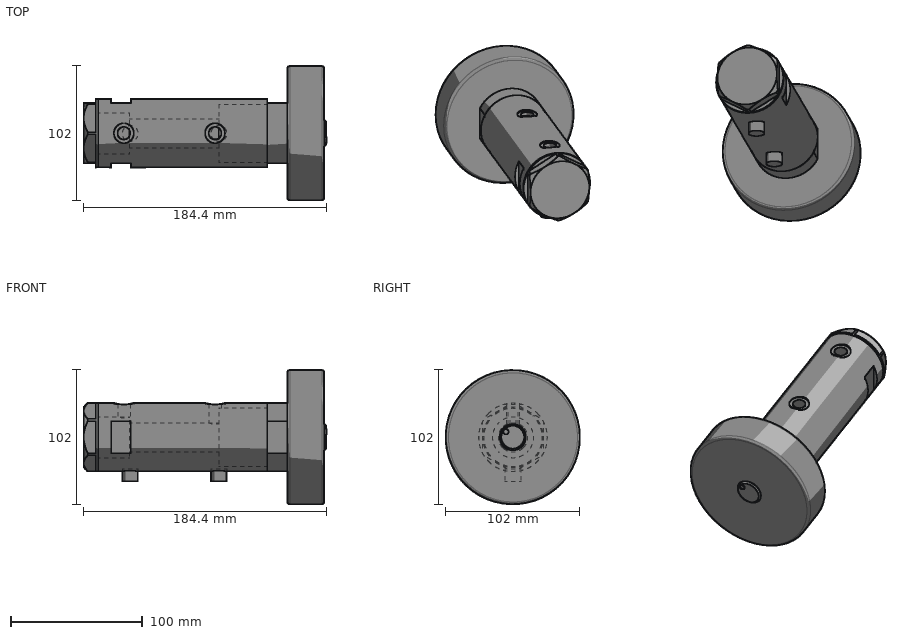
import cadquery as cq
import math


BODY_DIAMETER = 52.0
BODY_RADIUS = BODY_DIAMETER / 2
ACROSS_FLATS = 46.0
FLAT_DEPTH = BODY_RADIUS - ACROSS_FLATS / 2

HEX_END = 9.0
SLEEVE_START = 10.9
STEM_TIP_START = 34.7
STEM_SHOULDER_START = 102.3
SLEEVE_END = 139.2
DISC_START = 154.3
DISC_END = 182.4
TOTAL_LENGTH = 184.4

HEX_SIDES = 6
SPIGOT_RADIUS = 15.5

DISC_DIAMETER = 102.0
DISC_FILLET = 2.0
STEM_TIP_RADIUS = 11.0
STEM_SHOULDER_RADIUS = 22.1
BUTTON_RADIUS = 10.0
BUTTON_HEIGHT = 1.5
BUTTON_CHAMFER = 1.3
NUB_RADIUS = 2.0
NUB_Y = -5.2
NUB_Z = 4.0

WRENCH_SLOT_START = 20.8
WRENCH_SLOT_WIDTH = 15.0
PORT_POSITIONS = (30.5, 99.5)
PORT_DIAMETER = 9.5
SPOT_FACE_DIAMETER = 15.1
SPOT_FACE_DEPTH = 1.1

PIN_POSITIONS = (35.0, STEM_SHOULDER_START)
PIN_DIAMETER = 12.0
PIN_BOTTOM = -33.5
PIN_TOP = -24.0


def rod(start, end, radius):
    """Round bar along the X axis."""
    return cq.Workplane("YZ", origin=(start, 0, 0)).circle(radius).extrude(end - start)


def vertical_rod(x, bottom, top, diameter):
    """Round bar along Z that crosses the axis of the assembly at x."""
    return cq.Workplane("XY", origin=(x, 0, bottom)).circle(diameter / 2).extrude(top - bottom)


def cut_wrench_flats(body, start, end):
    """Cut two opposite flats, facing -Y and +Y, between two stations."""
    for side in (-1, 1):
        block = cq.Workplane("XY").box(end - start, FLAT_DEPTH, BODY_DIAMETER)
        block = block.translate(((start + end) / 2, side * (ACROSS_FLATS + FLAT_DEPTH) / 2, 0))
        body = body.cut(block)
    return body


def make_hex_plug():
    """Hex head with rounded corners, a thin collar and a spigot inside the sleeve."""
    across_corners = ACROSS_FLATS / math.cos(math.pi / HEX_SIDES)
    prism = cq.Workplane("YZ").polygon(HEX_SIDES, across_corners).extrude(HEX_END)
    prism = prism.rotate((0, 0, 0), (1, 0, 0), 90)
    corner_envelope = rod(0, HEX_END, BODY_RADIUS).faces("<X").chamfer(FLAT_DEPTH)
    head = prism.intersect(corner_envelope)
    collar = rod(HEX_END, SLEEVE_START, BODY_RADIUS)
    spigot = rod(SLEEVE_START, STEM_TIP_START, SPIGOT_RADIUS)
    return head.union(collar).union(spigot)


def make_stem():
    """Stepped stem of the flange, which fills the inner end of the sleeve bore."""
    tip = rod(STEM_TIP_START, STEM_SHOULDER_START, STEM_TIP_RADIUS)
    shoulder = rod(STEM_SHOULDER_START, SLEEVE_END, STEM_SHOULDER_RADIUS)
    return tip.union(shoulder)


def make_flange():
    """Large disc with a flatted neck, a stem and a low button on its outer face."""
    neck = cut_wrench_flats(rod(SLEEVE_END, DISC_START, BODY_RADIUS), SLEEVE_END, DISC_START)
    disc = rod(DISC_START, DISC_END, DISC_DIAMETER / 2).edges().fillet(DISC_FILLET)
    button_face = DISC_END + BUTTON_HEIGHT
    button = rod(DISC_END, button_face, BUTTON_RADIUS).faces(">X").chamfer(BUTTON_CHAMFER)
    nub = rod(button_face, TOTAL_LENGTH, NUB_RADIUS).translate((0, NUB_Y, NUB_Z))
    return disc.union(neck).union(make_stem()).union(button).union(nub)


def make_pin(x):
    """Straight pin standing out below the sleeve."""
    return vertical_rod(x, PIN_BOTTOM, PIN_TOP, PIN_DIAMETER)


def make_sleeve(pins):
    """Round sleeve with a stepped bore, wrench flats, two ports and the pin sockets."""
    sleeve = rod(SLEEVE_START, SLEEVE_END, BODY_RADIUS)
    sleeve = sleeve.cut(rod(SLEEVE_START, STEM_TIP_START, SPIGOT_RADIUS)).cut(make_stem())
    sleeve = cut_wrench_flats(sleeve, WRENCH_SLOT_START, WRENCH_SLOT_START + WRENCH_SLOT_WIDTH)
    spot_face_floor = BODY_RADIUS - SPOT_FACE_DEPTH
    for x in PORT_POSITIONS:
        sleeve = sleeve.cut(vertical_rod(x, 0, BODY_RADIUS, PORT_DIAMETER))
        sleeve = sleeve.cut(vertical_rod(x, spot_face_floor, BODY_RADIUS, SPOT_FACE_DIAMETER))
    for pin in pins:
        sleeve = sleeve.cut(pin)
    return sleeve


hex_plug = make_hex_plug()
flange = make_flange()
pins = [make_pin(x) for x in PIN_POSITIONS]
sleeve = make_sleeve(pins)

result = cq.Compound.makeCompound(
    [hex_plug.val(), flange.val(), sleeve.val(), *[pin.val() for pin in pins]]
)